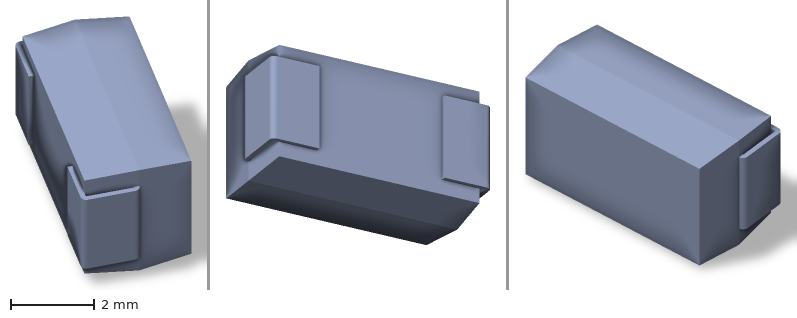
import cadquery as cq
import math

overall_length = 6.0
overall_depth = 2.8
body_height = 3.2

body_length = 5.7
draft_angle = 5.0

lead_thickness = 0.13
lead_width = 2.19
foot_length = 1.29
bend_radius = 0.145

half_depth = (overall_depth - lead_thickness) / 2
lead_end_x = overall_length / 2
foot_outer_y = -half_depth - lead_thickness
draft_slope = math.tan(math.radians(draft_angle))


def make_body():
    """One molded block, widest at the parting plane."""
    def drafted_half(direction):
        return (
            cq.Workplane("XZ")
            .rect(body_length, body_height)
            .extrude(direction * half_depth, taper=draft_angle)
        )

    return drafted_half(1).union(drafted_half(-1)).solids()


def make_lead(side):
    """One C-shaped lead; side is -1 for the -X end and +1 for the +X end."""
    root_x = body_length / 2
    inner_x = lead_end_x - lead_thickness
    foot_tip_x = lead_end_x - foot_length
    profile = [
        (root_x, 0),
        (lead_end_x, 0),
        (lead_end_x, foot_outer_y),
        (foot_tip_x, foot_outer_y),
        (foot_tip_x, -half_depth),
        (inner_x, -half_depth),
        (inner_x, -lead_thickness),
        (root_x - lead_thickness * draft_slope, -lead_thickness),
    ]
    outer_face = ">X" if side > 0 else "<X"
    return (
        cq.Workplane("XY")
        .polyline([(side * x, y) for x, y in profile])
        .close()
        .extrude(lead_width / 2, both=True)
        .faces(outer_face)
        .edges("|Z")
        .fillet(bend_radius)
        .solids()
    )


body = make_body()
leads = [make_lead(side) for side in (-1, 1)]

result = cq.Compound.makeCompound([body.val(), *[lead.val() for lead in leads]])